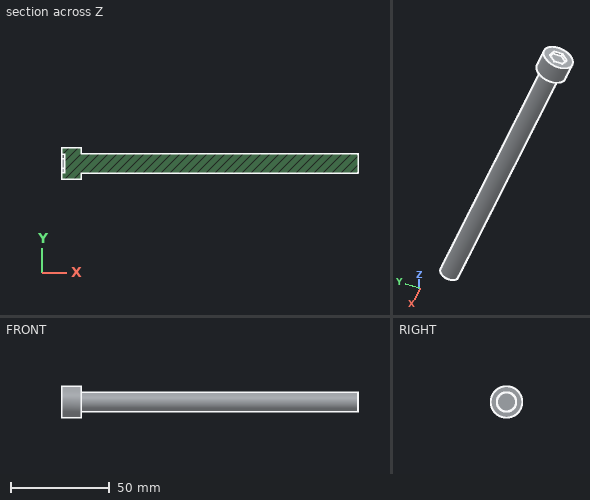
import cadquery as cq
import math

total_length = 150.0
shank_diameter = 10.0
head_diameter = 16.0
head_height = shank_diameter
tip_chamfer = 0.3

socket_across_flats = 8.0
socket_depth = 1.5
socket_across_corners = socket_across_flats / math.cos(math.pi / 6)


def make_head():
    return cq.Workplane("YZ").circle(head_diameter / 2).extrude(head_height)


def make_shank():
    shank = cq.Workplane("YZ").circle(shank_diameter / 2).extrude(total_length)
    return shank.faces(">X").chamfer(tip_chamfer)


def make_socket():
    return cq.Workplane("YZ").polygon(6, socket_across_corners).extrude(socket_depth)


result = make_head().union(make_shank()).cut(make_socket())